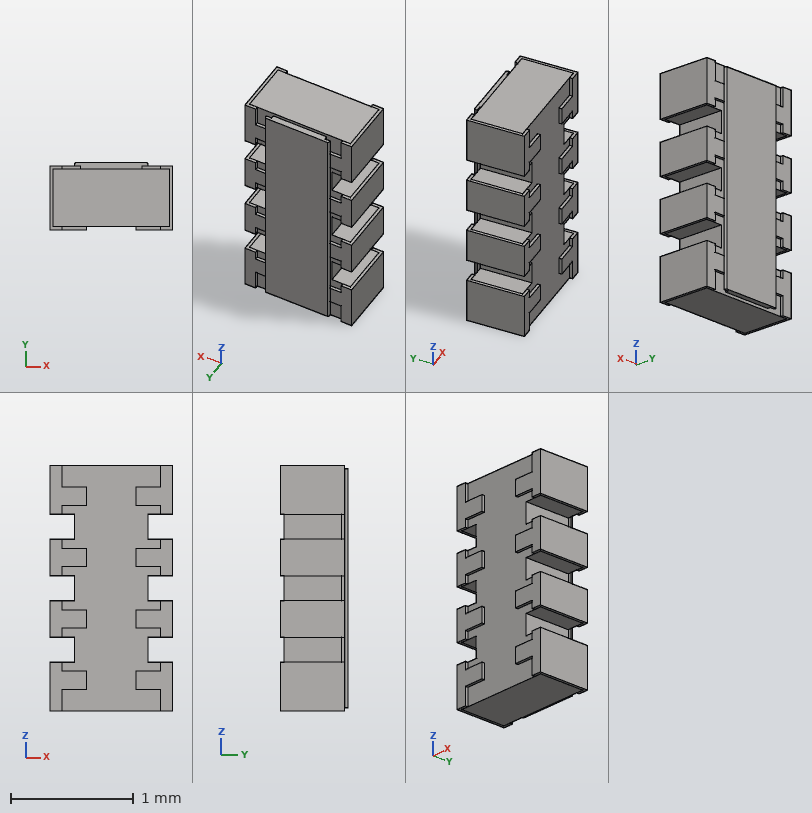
import cadquery as cq


total_width = 1.0
total_length = 2.0
total_depth = 0.55
layer = total_depth / 20

body_width = total_width - 2 * layer
body_front = layer
body_back = total_depth - 2 * layer
terminal_back = body_back + layer

pitch = 0.5
rows = 4
notch_height = 0.2
notch_depth = 0.2
notch_floor = total_width / 2 - notch_depth

inner_height = pitch - notch_height
end_height = (total_length - (rows - 2) * pitch - notch_height) / 2
band_width = 0.1
tab_height = 0.15
front_tab_reach = 0.3
back_tab_reach = 0.25

coat_length = total_length - 2 * layer
coat_root_half_width = total_width / 2 - back_tab_reach
coat_half_width = notch_floor
coat_step = 0.007
coat_taper = 0.009
coat_bulge = 0.002


def box(x_range, y_range, z_range):
    """Box spanning the given (low, high) pairs."""
    lows, highs = zip(x_range, y_range, z_range)
    sizes = [high - low for low, high in zip(lows, highs)]
    return cq.Workplane("XY").box(*sizes, centered=False).translate(lows)


def centred(size, middle=0.0):
    """(low, high) pair of the given size about a middle."""
    return (middle - size / 2, middle + size / 2)


row_heights = [(row - (rows - 1) / 2) * pitch for row in range(rows)]
notch_heights = [height + pitch / 2 for height in row_heights[:-1]]


def make_body():
    body = box(centred(body_width), (body_front, body_back), centred(total_length))
    for height in notch_heights:
        notch_range = centred(notch_height, height)
        for side in (-1, 1):
            x_range = sorted((side * notch_floor, side * total_width / 2))
            body = body.cut(box(x_range, (0, total_depth), notch_range))
    return body


def make_terminal(row):
    """Terminal on the -X side: a plated U with one tab on the front and one on the back."""
    middle = row_heights[row]
    low = middle - inner_height / 2
    high = middle + inner_height / 2
    if row == 0:
        low = high - end_height
    if row == rows - 1:
        high = low + end_height

    outer = -total_width / 2
    tab_range = centred(tab_height, middle)
    band = box((outer, outer + band_width), (0, terminal_back), (low, high))
    front_tab = box((outer, outer + front_tab_reach), (0, body_front), tab_range)
    back_tab = box((outer, outer + back_tab_reach), (body_back, terminal_back), tab_range)
    core = box(centred(body_width), (body_front, body_back), (low, high))
    return band.cut(core).union(front_tab).union(back_tab)


def make_coat():
    """Slab between the back tabs that widens over their tips, with rounded sides above."""
    step_back = terminal_back + coat_step
    top_half_width = coat_half_width - coat_taper
    return (
        cq.Workplane("XY")
        .moveTo(-coat_root_half_width, body_back)
        .lineTo(coat_root_half_width, body_back)
        .lineTo(coat_root_half_width, terminal_back)
        .lineTo(coat_half_width, terminal_back)
        .lineTo(coat_half_width, step_back)
        .sagittaArc((top_half_width, total_depth), -coat_bulge)
        .lineTo(-top_half_width, total_depth)
        .sagittaArc((-coat_half_width, step_back), -coat_bulge)
        .lineTo(-coat_half_width, terminal_back)
        .lineTo(-coat_root_half_width, terminal_back)
        .close()
        .extrude(coat_length / 2, both=True)
    )


body = make_body()
terminals = []
for row in range(rows):
    left_terminal = make_terminal(row)
    terminals += [left_terminal, left_terminal.mirror("YZ")]
coat = make_coat()

result = cq.Compound.makeCompound(
    [body.val(), *[terminal.val() for terminal in terminals], coat.val()]
)